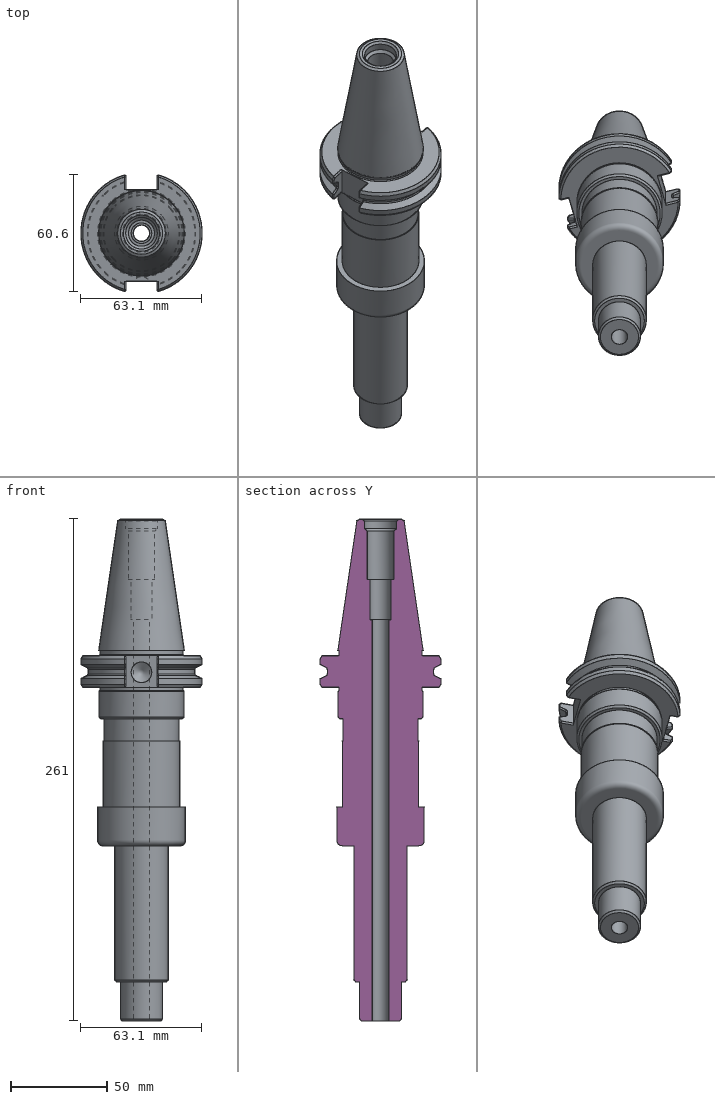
import cadquery as cq

total_length = 261.0

taper_nose_dia = 24.8
taper_dia = 44.5
taper_length = 68.4
nose_face_dia = 22.0
nose_chamfer_height = 0.8
relief_dia = 43.3
relief_flare = 0.5

flange_dia = 63.1
flange_top_depth = 71.0
flange_bottom_depth = 87.5
flange_chamfer = 1.0
flange_chamfer_height = 1.5
groove_shoulder_dia = 56.4
groove_shoulder_width = 4.0
groove_root_dia = 55.5
groove_root_width = 2.3
groove_mouth_width = 7.3

collar_dia = 44.4
collar_bottom_depth = 103.9
collar_top_chamfer = 0.5
collar_bottom_chamfer = 1.0
neck_dia = collar_dia - 2 * collar_top_chamfer
neck_length = 1.5
upper_body_dia = 39.1
body_dia = 40.0
body_step_depth = 115.3
nut_dia = 45.7
nut_top_depth = 149.5
nut_bottom_depth = 170.0
nut_fillet = 3.0
shank_dia = 28.0
shank_bottom_depth = 240.5
shank_chamfer = 1.0
tip_dia = 22.0
tip_chamfer = 1.0

slot_width = 16.0
front_slot_floor = 25.0
back_slot_floor = 22.7
slot_edge_chamfer = 0.8

dimple_dia = 10.7
dimple_depth = 3.1
dimple_axis_depth = 79.5

bore_mouth_dia = 18.8
bore_mouth_depth = 1.0
counterbore_dia = 16.5
counterbore_depth = 5.0
thread_dia = 13.5
thread_top_depth = 6.3
thread_bottom_depth = 31.3
coolant_bore_dia = 10.7
coolant_bore_depth = 52.2
through_bore_dia = 8.4

cutter_overrun = 2.5
selection_margin = 0.03


def height(depth):
    """Z of a level given by its depth below the taper nose."""
    return total_length - depth


def revolve_profile(diameters_and_heights):
    """Solid of revolution about Z through (diameter, height) points."""
    outline = [(dia / 2, z) for dia, z in diameters_and_heights]
    return cq.Workplane("XZ").polyline(outline).close().revolve(360, (0, 0), (0, 1))


def turned_body():
    taper_end = height(taper_length)
    flange_top = height(flange_top_depth)
    flange_bottom = height(flange_bottom_depth)
    groove_mid = (flange_top + flange_bottom) / 2
    collar_top = flange_bottom - neck_length
    collar_bottom = height(collar_bottom_depth)
    body_step = height(body_step_depth)
    nut_top = height(nut_top_depth)
    nut_bottom = height(nut_bottom_depth)
    shank_bottom = height(shank_bottom_depth)
    diameters_and_heights = [
        (0, total_length),
        (nose_face_dia, total_length),
        (taper_nose_dia, total_length - nose_chamfer_height),
        (taper_dia, taper_end),
        (relief_dia, taper_end),
        (relief_dia, flange_top + relief_flare),
        (relief_dia + 2 * relief_flare, flange_top),
        (flange_dia - 2 * flange_chamfer, flange_top),
        (flange_dia, flange_top - flange_chamfer_height),
        (flange_dia, groove_mid + groove_mouth_width / 2),
        (groove_shoulder_dia, groove_mid + groove_shoulder_width / 2),
        (groove_root_dia, groove_mid + groove_root_width / 2),
        (groove_root_dia, groove_mid - groove_root_width / 2),
        (groove_shoulder_dia, groove_mid - groove_shoulder_width / 2),
        (flange_dia, groove_mid - groove_mouth_width / 2),
        (flange_dia, flange_bottom + flange_chamfer_height),
        (flange_dia - 2 * flange_chamfer, flange_bottom),
        (neck_dia, flange_bottom),
        (neck_dia, collar_top),
        (collar_dia, collar_top - collar_top_chamfer),
        (collar_dia, collar_bottom + collar_bottom_chamfer),
        (collar_dia - 2 * collar_bottom_chamfer, collar_bottom),
        (upper_body_dia, collar_bottom),
        (upper_body_dia, body_step),
        (body_dia, body_step),
        (body_dia, nut_top),
        (nut_dia, nut_top),
        (nut_dia, nut_bottom),
        (shank_dia, nut_bottom),
        (shank_dia, shank_bottom + shank_chamfer),
        (shank_dia - 2 * shank_chamfer, shank_bottom),
        (tip_dia, shank_bottom),
        (tip_dia, tip_chamfer),
        (tip_dia - 2 * tip_chamfer, 0),
        (0, 0),
    ]
    turned = revolve_profile(diameters_and_heights)
    nut_rim = cq.selectors.BoxSelector(
        (-nut_dia, -nut_dia, nut_bottom - selection_margin),
        (nut_dia, nut_dia, nut_bottom + selection_margin),
    )
    return turned.edges(nut_rim).edges(cq.selectors.RadiusNthSelector(-1)).fillet(nut_fillet)


def drive_slot(floor, side):
    """Cutter for the slot beyond |Y| = floor; side is +1 for back, -1 for front."""
    reach = flange_dia / 2 - floor + cutter_overrun
    flange_thickness = flange_bottom_depth - flange_top_depth
    return (
        cq.Workplane("XY")
        .box(slot_width, reach, flange_thickness, centered=(True, True, False))
        .translate((0, side * (floor + reach / 2), height(flange_bottom_depth)))
    )


def dimple():
    axis_height = height(dimple_axis_depth)
    cone = cq.Solid.makeCone(
        dimple_dia / 2, 0, dimple_depth,
        pnt=cq.Vector(0, -front_slot_floor, axis_height), dir=cq.Vector(0, 1, 0),
    )
    return cq.Workplane(obj=cone)


def bore():
    diameters_and_depths = [
        (0, 0),
        (bore_mouth_dia, 0),
        (counterbore_dia, bore_mouth_depth),
        (counterbore_dia, counterbore_depth),
        (thread_dia, thread_top_depth),
        (thread_dia, thread_bottom_depth),
        (coolant_bore_dia, thread_bottom_depth),
        (coolant_bore_dia, coolant_bore_depth),
        (through_bore_dia, coolant_bore_depth),
        (through_bore_dia, total_length),
        (0, total_length),
    ]
    return revolve_profile([(dia, height(depth)) for dia, depth in diameters_and_depths])


def chamfer_slot_walls(body):
    """Break the edges where the slot walls meet the flange, leaving the slot floors sharp."""
    bottom = height(flange_bottom_depth) - selection_margin
    top = height(flange_top_depth) + selection_margin
    for floor, side in ((front_slot_floor, -1), (back_slot_floor, 1)):
        for wall in (-1, 1):
            x = wall * slot_width / 2
            zone = cq.selectors.BoxSelector(
                (x - selection_margin, side * (floor + selection_margin), bottom),
                (x + selection_margin, side * flange_dia, top),
            )
            body = body.edges(zone).chamfer(slot_edge_chamfer)
    return body


slotted = (
    turned_body()
    .cut(drive_slot(front_slot_floor, -1))
    .cut(drive_slot(back_slot_floor, 1))
)
result = chamfer_slot_walls(slotted).cut(dimple()).cut(bore())